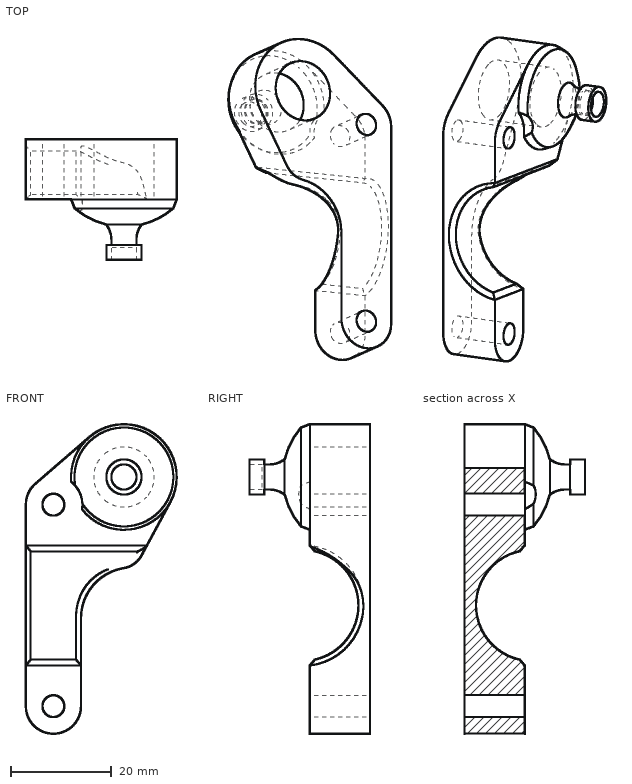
import cadquery as cq
import math

plate_depth = 12.0
arm_radius = 5.5
hole_spacing = 40.0
hole_diameter = 4.3

housing_x, housing_z = 14.0, 45.5
housing_radius = 10.5
bore_diameter = 12.0
bore_depth = 12.0

flank_angle = math.radians(28.4)
hollow_radius = 10.0
hollow_z = 17.5
shoulder_radius = 5.0

saddle_radius = 11.0
saddle_axis_y, saddle_z = -13.35, 20.0
saddle_chamfer = 1.0

rim_height = 1.75
dome_radius = 15.0
pin_root_y = -17.0
head_clearance_diameter = 11.5

pin_tip_y = -24.0
collar_diameter = 7.0
collar_length = 3.0
neck_diameter = 5.0
flare_length = 3.0
socket_diameter = 5.0
socket_depth = 2.5


def xz_plane(y=0.0):
    """Sketch plane at the given y; extrusion runs toward -Y."""
    return cq.Workplane("XZ", origin=(0, y, 0))


def polar(center, radius, angle):
    return (center[0] + radius * math.cos(angle), center[1] + radius * math.sin(angle))


def make_plate():
    upper = (0.0, hole_spacing)
    housing = (housing_x, housing_z)
    hollow = (arm_radius + hollow_radius, hollow_z)

    center_distance = math.dist(upper, housing)
    center_angle = math.atan2(housing_z - hole_spacing, housing_x)
    radius_step = housing_radius - arm_radius
    tangent_angle = center_angle + math.acos(-radius_step / center_distance)

    normal = (math.cos(flank_angle), -math.sin(flank_angle))
    along = (math.sin(flank_angle), math.cos(flank_angle))
    to_housing = (housing[0] - hollow[0], housing[1] - hollow[1])
    across_distance = to_housing[0] * normal[0] + to_housing[1] * normal[1]
    across_distance += housing_radius - shoulder_radius
    along_distance = math.sqrt((hollow_radius + shoulder_radius) ** 2 - across_distance**2)
    shoulder = (
        hollow[0] + across_distance * normal[0] + along_distance * along[0],
        hollow[1] + across_distance * normal[1] + along_distance * along[1],
    )
    contact_angle = math.atan2(shoulder[1] - hollow[1], shoulder[0] - hollow[0])
    shoulder_start = contact_angle - math.pi
    shoulder_middle = (shoulder_start - flank_angle) / 2
    hollow_middle = (contact_angle + math.pi) / 2
    housing_middle = (tangent_angle - flank_angle) / 2
    corner_middle = (tangent_angle + math.pi) / 2

    return (
        xz_plane()
        .moveTo(-arm_radius, 0)
        .threePointArc((0, -arm_radius), (arm_radius, 0))
        .lineTo(arm_radius, hollow_z)
        .threePointArc(
            polar(hollow, hollow_radius, hollow_middle),
            polar(hollow, hollow_radius, contact_angle),
        )
        .threePointArc(
            polar(shoulder, shoulder_radius, shoulder_middle),
            polar(shoulder, shoulder_radius, -flank_angle),
        )
        .lineTo(*polar(housing, housing_radius, -flank_angle))
        .threePointArc(
            polar(housing, housing_radius, housing_middle),
            polar(housing, housing_radius, tangent_angle),
        )
        .lineTo(*polar(upper, arm_radius, tangent_angle))
        .threePointArc(polar(upper, arm_radius, corner_middle), (-arm_radius, hole_spacing))
        .close()
        .extrude(plate_depth)
    )


def cut_saddle(plate):
    length = 2 * (housing_x + housing_radius)
    saddle = (
        cq.Workplane("YZ", origin=(-length / 2, 0, 0))
        .center(saddle_axis_y, saddle_z)
        .circle(saddle_radius)
        .extrude(length)
    )
    cut = plate.cut(saddle)
    mid_depth = -plate_depth / 2
    saddle_face = cut.faces("%CYLINDER").faces(
        cq.selectors.NearestToPointSelector((0, mid_depth, saddle_z))
    )
    return saddle_face.edges().chamfer(saddle_chamfer)


def make_cap_and_pin():
    """Revolved cap and pin; profile points are (radius, y) about the housing axis."""
    collar_radius, neck_radius = collar_diameter / 2, neck_diameter / 2
    dome_center_y = pin_root_y + math.sqrt(dome_radius**2 - collar_radius**2)
    rim_y = -plate_depth - rim_height
    rim_radius = math.sqrt(dome_radius**2 - (rim_y - dome_center_y) ** 2)
    dome_middle_radius = (rim_radius + collar_radius) / 2
    dome_middle_y = dome_center_y - math.sqrt(dome_radius**2 - dome_middle_radius**2)

    flare_end_y = pin_root_y - flare_length
    collar_y = pin_tip_y + collar_length
    flare_rise = collar_radius - neck_radius
    flare_radius = (flare_length**2 + flare_rise**2) / (2 * flare_rise)
    flare_middle_y = pin_root_y - flare_length / 2
    flare_middle_reach = math.sqrt(flare_radius**2 - (flare_length / 2) ** 2)
    flare_middle_radius = neck_radius + flare_radius - flare_middle_reach
    return (
        cq.Workplane("XY", origin=(housing_x, 0, housing_z))
        .moveTo(0, -plate_depth)
        .lineTo(housing_radius, -plate_depth)
        .lineTo(rim_radius, rim_y)
        .threePointArc((dome_middle_radius, dome_middle_y), (collar_radius, pin_root_y))
        .threePointArc((flare_middle_radius, flare_middle_y), (neck_radius, flare_end_y))
        .lineTo(neck_radius, collar_y)
        .lineTo(collar_radius, collar_y)
        .lineTo(collar_radius, pin_tip_y)
        .lineTo(0, pin_tip_y)
        .close()
        .revolve(360, (0, 0, 0), (0, 1, 0))
    )


def cylinder(x, z, diameter, start_y, length):
    """Cylinder along Y from start_y toward -Y."""
    return xz_plane(start_y).center(x, z).circle(diameter / 2).extrude(length)


def cut_holes(part):
    for z in (0, hole_spacing):
        part = part.cut(cylinder(0, z, hole_diameter, 0, plate_depth))
    bore = cylinder(housing_x, housing_z, bore_diameter, 0, bore_depth)
    socket = cylinder(housing_x, housing_z, socket_diameter, pin_tip_y + socket_depth, socket_depth)
    return part.cut(bore).cut(socket)


plate = cut_saddle(make_plate())
head_clearance = cylinder(0, hole_spacing, head_clearance_diameter, -plate_depth, plate_depth)
cap = make_cap_and_pin().cut(head_clearance)
result = cut_holes(plate.union(cap))